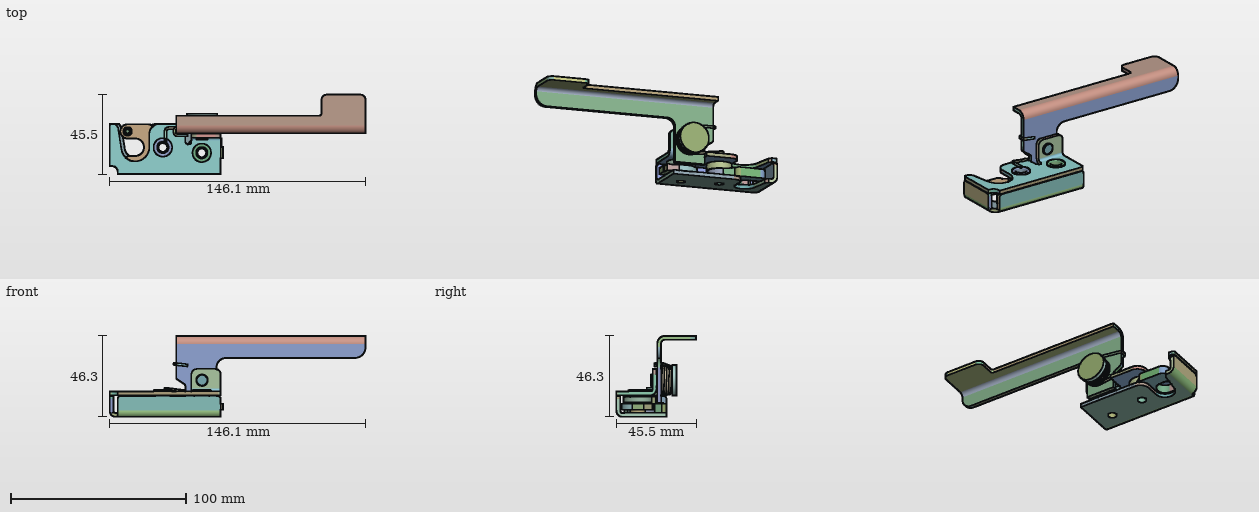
import cadquery as cq
import math

SHEET = 2.29
BODY_LENGTH = 63.4
BODY_DEPTH = 28.7
PLATE_TOP = 14.6
PLATE_BOTTOM = PLATE_TOP - SHEET
WALL_TOP = 12.0
BEND_OUTER = 3.6
BEND_INNER = BEND_OUTER - SHEET
WALL_CORNER_RADIUS = 1.7

RELIEF_END = 4.57
RELIEF_START = 1.5

TOTAL_LENGTH = 146.11
TOTAL_DEPTH = 45.49
TOTAL_HEIGHT = 46.3
HANDLE_LEFT = 37.95
HANDLE_FRONT = 23.3
HANDLE_BACK = HANDLE_FRONT + SHEET
HANDLE_BEND_OUTER = 2 * SHEET
RAIL_BACK = 33.45
RAIL_BOTTOM = 33.55
WEB_END_RADIUS = 6.35
GRIP_LEFT = 120.8
GRIP_CORNER_RADIUS = 3.2
GRIP_INNER_RADIUS = 1.2
STEM_RIGHT = 61.1
STEM_FILLET = 5.3
SHOULDER_TOP = 21.8
SHOULDER_BOTTOM = 18.3
LEG_LEFT = 43.2
LEG_BOTTOM = 8.0
SHOULDER_FILLET = 1.5

PIVOT_X = 52.75
PIVOT_Z = 20.95
PIN_DIAMETER = 6.63
PIN_TIP_DIAMETER = 6.1
PIN_FRONT = 19.8
DISC_DIAMETER = 17.45
DISC_FRONT = 31.8
DISC_BACK = 34.5
HUB_DIAMETER = 12.7

LUG_LEFT = 46.7
LUG_FRONT = 20.76
LUG_BACK = LUG_FRONT + SHEET
LUG_TOP = 27.35
LUG_CORNER_RADIUS = 3.0
LUG_BEND_INNER = 1.5
LUG_BEND_OUTER = LUG_BEND_INNER + SHEET
LUG_BEND_START = LUG_FRONT - LUG_BEND_INNER
NOTCH_LEFT = 43.1
NOTCH_SHOULDER = 19.0
NOTCH_BOTTOM = 17.1

MOUTH_X = 14.7
MOUTH_Y = 15.4
TOP_MOUTH_RADIUS = 8.0
LOWER_MOUTH_RADIUS = 6.0
MOUTH_TILT = math.radians(9)
MOUTH_LIP_RADIUS = 2.2
MOUTH_FLARE_RADIUS = 5.8

BUSHINGS = [(30.4, 15.3), (52.6, 12.2)]
BUSHING_DIAMETER = 8.48
FLANGE_DIAMETER = 10.6
FLANGE_RISE = 0.95
FLANGE_EDGE = 0.4
BORE_DIAMETER = 6.53
LOWER_BORE_DIAMETER = 4.98
BORE_LEDGE = 12.0

ROTOR_BOTTOM = SHEET
ROTOR_TOP = 7.6
PAWL_BOTTOM = 4.0
PAWL_RADIUS = 9.3
LEVER_BOTTOM = 8.3
LEVER_TOP = 11.5
LEVER_RADIUS = 8.1
COLLAR_DIAMETER = 14.6
JAW_X = 10.3
JAW_Y = 24.45
JAW_RADIUS = 4.1
SLOT_HALF_HEIGHT = 4.9
RIVET_DIAMETER = 4.98
RIVET_SOCKET_DIAMETER = 3.17
RIVET_CORE_DIAMETER = 2.34
RIVET_RISE = 0.4
RIVET_SOCKET_DEPTH = 0.8

WIRE_DIAMETER = 1.32
COIL_RADIUS = 7.6
COIL_PITCH = 1.35
COIL_TURNS = 3.5
COIL_START = 26.3
WIRE_BEND_RADIUS = 1.8


def slab(outline, bottom, top):
    """Extrude a closed XY outline between two heights."""
    return outline.extrude(top - bottom).translate((0, 0, bottom))


def fillet_near(body, point, radius):
    """Round the one edge whose middle is closest to a point."""
    return body.edges(cq.selectors.NearestToPointSelector(point)).fillet(radius)


def cylinder_y(diameter, front, back):
    """Cylinder on the pivot axis."""
    return (
        cq.Workplane("XZ", origin=(PIVOT_X, front, PIVOT_Z))
        .circle(diameter / 2)
        .extrude(front - back)
    )


def corner_relief():
    """Round-nosed column removed at the corner of the two walls."""
    radius = RELIEF_END - RELIEF_START
    nose = RELIEF_START + radius * math.sqrt(0.5)
    outline = (
        cq.Workplane("XY")
        .moveTo(0, 0)
        .lineTo(RELIEF_END, 0)
        .lineTo(RELIEF_END, RELIEF_START)
        .threePointArc((nose, nose), (RELIEF_START, RELIEF_END))
        .lineTo(0, RELIEF_END)
        .close()
    )
    return slab(outline, 0, PLATE_TOP)


def mouth(radius, bottom, top):
    """Striker opening: round end, tilted left side, lips rounded at the rear edge."""
    touch_x = MOUTH_X - radius * math.cos(MOUTH_TILT)
    touch_y = MOUTH_Y - radius * math.sin(MOUTH_TILT)
    left_lip = touch_x - (BODY_DEPTH - touch_y) * math.tan(MOUTH_TILT)
    right = MOUTH_X + radius
    lip = MOUTH_LIP_RADIUS
    flare = MOUTH_FLARE_RADIUS
    outline = (
        cq.Workplane("XY")
        .moveTo(left_lip - lip / 2, BODY_DEPTH)
        .lineTo(left_lip - lip / 2, BODY_DEPTH + lip)
        .lineTo(right + flare, BODY_DEPTH + lip)
        .lineTo(right + flare, BODY_DEPTH)
        .threePointArc(
            (right + flare * (1 - math.sqrt(0.5)), BODY_DEPTH - flare * (1 - math.sqrt(0.5))),
            (right, BODY_DEPTH - flare),
        )
        .lineTo(right, MOUTH_Y)
        .threePointArc((MOUTH_X, MOUTH_Y - radius), (touch_x, touch_y))
        .lineTo(left_lip + lip * math.tan(MOUTH_TILT), BODY_DEPTH - lip)
        .close()
    )
    return slab(outline, bottom, top)


def housing():
    """Bottom plate with a front wall and a left wall, open at their common corner."""
    outer = (
        cq.Workplane("XY")
        .box(BODY_LENGTH, BODY_DEPTH, WALL_TOP, centered=False)
        .edges("(<X and <Z) or (<Y and <Z)")
        .fillet(BEND_OUTER)
    )
    cavity = (
        cq.Workplane("XY", origin=(SHEET, SHEET, SHEET))
        .box(BODY_LENGTH, BODY_DEPTH, WALL_TOP, centered=False)
        .edges("(<X and <Z) or (<Y and <Z)")
        .fillet(BEND_INNER)
    )
    wall_gap = cq.Workplane("XY", origin=(0, 0, SHEET)).box(
        RELIEF_END, RELIEF_END, WALL_TOP, centered=False
    )
    shell = outer.cut(cavity).cut(corner_relief()).cut(wall_gap)
    shell = shell.cut(mouth(LOWER_MOUTH_RADIUS, 0, SHEET))
    for corner in [RELIEF_END, BODY_LENGTH]:
        shell = fillet_near(shell, (corner, SHEET / 2, WALL_TOP), WALL_CORNER_RADIUS)
    for corner in [RELIEF_END, BODY_DEPTH]:
        shell = fillet_near(shell, (SHEET / 2, corner, WALL_TOP), WALL_CORNER_RADIUS)
    return shell


def top_plate():
    """Flat plate with the striker mouth and the relief notch beside the lug."""
    plate_corner_radius = 1.2
    middle = (PLATE_TOP + PLATE_BOTTOM) / 2
    outline = (
        cq.Workplane("XY")
        .moveTo(0, 0)
        .lineTo(BODY_LENGTH, 0)
        .lineTo(BODY_LENGTH, LUG_BEND_START)
        .lineTo(LUG_LEFT, LUG_BEND_START)
        .lineTo(LUG_LEFT, NOTCH_SHOULDER)
        .threePointArc(((LUG_LEFT + NOTCH_LEFT) / 2, NOTCH_BOTTOM), (NOTCH_LEFT, NOTCH_SHOULDER))
        .lineTo(NOTCH_LEFT, BODY_DEPTH)
        .lineTo(0, BODY_DEPTH)
        .close()
    )
    plate = slab(outline, PLATE_BOTTOM, PLATE_TOP)
    for x, y in [(BODY_LENGTH, 0), (0, BODY_DEPTH)]:
        plate = fillet_near(plate, (x, y, middle), plate_corner_radius)
    return plate.cut(corner_relief()).cut(mouth(TOP_MOUTH_RADIUS, PLATE_BOTTOM, PLATE_TOP))


def lug():
    """Upright lug joined to the top plate by a quarter-round bend."""
    bend_z = PLATE_TOP + LUG_BEND_INNER
    diagonal = math.sqrt(0.5)
    upright = (
        cq.Workplane("YZ", origin=(LUG_LEFT, 0, 0))
        .moveTo(LUG_BEND_START, PLATE_BOTTOM)
        .threePointArc(
            (LUG_BEND_START + LUG_BEND_OUTER * diagonal, bend_z - LUG_BEND_OUTER * diagonal),
            (LUG_BACK, bend_z),
        )
        .lineTo(LUG_BACK, LUG_TOP)
        .lineTo(LUG_FRONT, LUG_TOP)
        .lineTo(LUG_FRONT, bend_z)
        .threePointArc(
            (LUG_BEND_START + LUG_BEND_INNER * diagonal, bend_z - LUG_BEND_INNER * diagonal),
            (LUG_BEND_START, PLATE_TOP),
        )
        .close()
        .extrude(BODY_LENGTH - LUG_LEFT)
    )
    return upright.edges("|Y and >Z").fillet(LUG_CORNER_RADIUS)


def handle():
    """Angle-section lever: web with a stem, long flange and wide thumb grip."""
    web = (
        cq.Workplane("XZ", origin=(0, HANDLE_FRONT, 0))
        .moveTo(HANDLE_LEFT, TOTAL_HEIGHT)
        .lineTo(TOTAL_LENGTH, TOTAL_HEIGHT)
        .lineTo(TOTAL_LENGTH, RAIL_BOTTOM)
        .lineTo(STEM_RIGHT, RAIL_BOTTOM)
        .lineTo(STEM_RIGHT, LEG_BOTTOM)
        .lineTo(LEG_LEFT, LEG_BOTTOM)
        .lineTo(LEG_LEFT, SHOULDER_BOTTOM)
        .lineTo(HANDLE_LEFT, SHOULDER_TOP)
        .close()
        .extrude(HANDLE_FRONT - TOTAL_DEPTH)
    )
    web_middle = (HANDLE_FRONT + TOTAL_DEPTH) / 2
    web_corners = [
        (TOTAL_LENGTH, RAIL_BOTTOM, WEB_END_RADIUS),
        (STEM_RIGHT, RAIL_BOTTOM, STEM_FILLET),
        (LEG_LEFT, SHOULDER_BOTTOM, SHOULDER_FILLET),
        (HANDLE_LEFT, SHOULDER_TOP, SHOULDER_FILLET),
    ]
    for x, z, radius in web_corners:
        web = fillet_near(web, (x, web_middle, z), radius)

    length = TOTAL_LENGTH - HANDLE_LEFT
    depth = TOTAL_DEPTH - HANDLE_FRONT
    angle = (
        cq.Workplane("XY", origin=(HANDLE_LEFT, HANDLE_FRONT, 0))
        .box(length, depth, TOTAL_HEIGHT, centered=False)
        .edges("<Y and >Z")
        .fillet(HANDLE_BEND_OUTER)
    )
    inside = (
        cq.Workplane("XY", origin=(HANDLE_LEFT, HANDLE_BACK, 0))
        .box(length, depth, TOTAL_HEIGHT - SHEET, centered=False)
        .edges("<Y and >Z")
        .fillet(HANDLE_BEND_OUTER - SHEET)
    )
    plan = (
        cq.Workplane("XY")
        .moveTo(HANDLE_LEFT, HANDLE_FRONT)
        .lineTo(TOTAL_LENGTH, HANDLE_FRONT)
        .lineTo(TOTAL_LENGTH, TOTAL_DEPTH)
        .lineTo(GRIP_LEFT, TOTAL_DEPTH)
        .lineTo(GRIP_LEFT, RAIL_BACK)
        .lineTo(HANDLE_LEFT, RAIL_BACK)
        .close()
        .extrude(TOTAL_HEIGHT)
        .edges("|Z and >Y")
        .fillet(GRIP_CORNER_RADIUS)
    )
    plan = fillet_near(plan, (GRIP_LEFT, RAIL_BACK, TOTAL_HEIGHT / 2), GRIP_INNER_RADIUS)
    return angle.cut(inside).intersect(web).intersect(plan)


def pivot():
    """Pivot pin with a bevelled tip, spring hub and retaining disc."""
    pin = cylinder_y(PIN_DIAMETER, PIN_FRONT, DISC_FRONT)
    pin = pin.faces("<Y").chamfer((PIN_DIAMETER - PIN_TIP_DIAMETER) / 2)
    hub = cylinder_y(HUB_DIAMETER, HANDLE_BACK, DISC_FRONT)
    disc = cylinder_y(DISC_DIAMETER, DISC_FRONT, DISC_BACK)
    return pin.union(hub).union(disc)


def bushing(x, y):
    """Stepped tube through the body with a rounded flange on the top plate."""
    outer = FLANGE_DIAMETER / 2
    inner = BORE_DIAMETER / 2
    lower = LOWER_BORE_DIAMETER / 2
    barrel = BUSHING_DIAMETER / 2
    profile = (
        cq.Workplane("XZ")
        .moveTo(lower, 0)
        .lineTo(barrel, 0)
        .lineTo(barrel, PLATE_TOP)
        .lineTo(outer, PLATE_TOP)
        .lineTo(outer, PLATE_TOP + FLANGE_EDGE)
        .threePointArc(((outer + inner) / 2, PLATE_TOP + FLANGE_RISE), (inner, PLATE_TOP))
        .lineTo(inner, BORE_LEDGE)
        .lineTo(lower, BORE_LEDGE)
        .close()
    )
    return profile.revolve(360, (0, 0, 0), (0, 1, 0)).translate((x, y, 0))


def rotor():
    """Hooked catch turning on the first bushing, with a riveted upper jaw."""
    hinge_x, hinge_y = BUSHINGS[0]
    hinge_radius = 6.6
    heel_drop = 2.3
    back_corner_x = 22.2
    back_corner_radius = 2.7
    jaw_tip = (9.1, 9.3)
    jaw_root_x = 10.8
    back = JAW_Y + JAW_RADIUS
    slot_top = MOUTH_Y + SLOT_HALF_HEIGHT
    slot_bottom = MOUTH_Y - SLOT_HALF_HEIGHT
    diagonal = math.sqrt(0.5)
    outline = (
        cq.Workplane("XY")
        .moveTo(JAW_X, back)
        .lineTo(back_corner_x, back)
        .threePointArc(
            (back_corner_x + back_corner_radius * diagonal, back - back_corner_radius * (1 - diagonal)),
            (back_corner_x + back_corner_radius, back - back_corner_radius),
        )
        .lineTo(hinge_x, hinge_y + hinge_radius)
        .threePointArc((hinge_x + hinge_radius, hinge_y), (hinge_x, hinge_y - hinge_radius))
        .lineTo(jaw_tip[0] + SLOT_HALF_HEIGHT, hinge_y - hinge_radius - heel_drop)
        .lineTo(*jaw_tip)
        .lineTo(jaw_root_x, slot_bottom)
        .lineTo(MOUTH_X, slot_bottom)
        .threePointArc((MOUTH_X + SLOT_HALF_HEIGHT, MOUTH_Y), (MOUTH_X, slot_top))
        .lineTo(JAW_X, slot_top)
        .threePointArc((JAW_X - JAW_RADIUS, (slot_top + back) / 2), (JAW_X, back))
        .close()
    )
    rivet_top = ROTOR_TOP + RIVET_RISE
    socket_floor = rivet_top - RIVET_SOCKET_DEPTH
    axis = cq.Workplane("XY").center(JAW_X, JAW_Y)
    rivet = slab(axis.circle(RIVET_DIAMETER / 2), ROTOR_TOP, rivet_top)
    socket = slab(axis.circle(RIVET_SOCKET_DIAMETER / 2), socket_floor, rivet_top)
    core = slab(axis.circle(RIVET_CORE_DIAMETER / 2), socket_floor, ROTOR_TOP)
    collar = slab(
        cq.Workplane("XY").center(hinge_x, hinge_y).circle(COLLAR_DIAMETER / 2), ROTOR_TOP, LEVER_TOP
    )
    blank = slab(outline, ROTOR_BOTTOM, ROTOR_TOP)
    return blank.union(rivet).cut(socket).union(core).union(collar)


def pawl_and_lever():
    """Two stacked levers turning on the second bushing; the pawl tail leaves the body."""
    x, y = BUSHINGS[1]
    tail_front = 9.1
    tail_step = 15.6
    tail_back = 20.5
    tail_end = 64.75
    tail_short_end = 64.0
    pawl = slab(cq.Workplane("XY").center(x, y).circle(PAWL_RADIUS), PAWL_BOTTOM, ROTOR_TOP)
    tail = (
        cq.Workplane("XY")
        .moveTo(x, tail_front)
        .lineTo(tail_end, tail_front)
        .lineTo(tail_end, tail_step)
        .lineTo(tail_short_end, tail_step)
        .lineTo(tail_short_end, tail_back)
        .lineTo(x, tail_back)
        .close()
    )
    lever = slab(cq.Workplane("XY").center(x, y).circle(LEVER_RADIUS), LEVER_BOTTOM, LEVER_TOP)
    return pawl.union(slab(tail, PAWL_BOTTOM, ROTOR_TOP)).union(lever)


def bent_wire(points):
    """Round wire along straight runs joined by tangent bends."""
    nodes = [cq.Vector(*p) for p in points]
    edges = []
    start = nodes[0]
    for before, corner, after in zip(nodes, nodes[1:], nodes[2:]):
        arriving = (corner - before).normalized()
        leaving = (after - corner).normalized()
        half_turn = arriving.getAngle(leaving) / 2
        setback = WIRE_BEND_RADIUS * math.tan(half_turn)
        bend_start = corner - arriving * setback
        bend_end = corner + leaving * setback
        inward = (leaving - arriving).normalized()
        bend_middle = corner + inward * (WIRE_BEND_RADIUS / math.cos(half_turn) - WIRE_BEND_RADIUS)
        edges.append(cq.Edge.makeLine(start, bend_start))
        edges.append(cq.Edge.makeThreePointArc(bend_start, bend_middle, bend_end))
        start = bend_end
    edges.append(cq.Edge.makeLine(start, nodes[-1]))
    path = cq.Wire.assembleEdges(edges)
    section = cq.Workplane(cq.Plane(nodes[0], normal=nodes[1] - nodes[0]))
    return section.circle(WIRE_DIAMETER / 2).sweep(cq.Workplane(path))


def spring():
    """Torsion spring: coil round the hub, one leg hooked on the stem, one on the plate."""
    coil_length = COIL_PITCH * COIL_TURNS
    coil_end = COIL_START + coil_length
    axis = cq.Plane(
        origin=(PIVOT_X, COIL_START, PIVOT_Z), xDir=(0, 0, -1), normal=(0, 1, 0)
    )
    helix = cq.Wire.makeHelix(COIL_PITCH, coil_length, COIL_RADIUS, lefthand=True)
    helix = helix.moved(cq.Location(axis))
    coil = (
        cq.Workplane("YZ", origin=(PIVOT_X, COIL_START, PIVOT_Z - COIL_RADIUS))
        .circle(WIRE_DIAMETER / 2)
        .sweep(cq.Workplane(helix), isFrenet=True)
    )
    hook_x = 37.1
    hook_back = 26.3
    hook_front = 22.2
    hook_height = 30.25
    hook_tip = (44.5, hook_front, 29.4)
    hooked_leg = bent_wire([
        (PIVOT_X, coil_end, PIVOT_Z + COIL_RADIUS),
        (hook_x, hook_back, hook_height),
        (hook_x, hook_front, hook_height),
        hook_tip,
    ])
    rest_x = 31.95
    rest_height = 16.1
    rest_tip_y = 17.3
    resting_leg = bent_wire([
        (PIVOT_X, COIL_START, PIVOT_Z - COIL_RADIUS),
        (rest_x, COIL_START, rest_height),
        (rest_x, rest_tip_y, rest_height),
    ])
    return coil.union(hooked_leg).union(resting_leg)


def latch():
    """All parts joined into one solid."""
    body = housing().union(top_plate()).union(lug())
    body = body.union(rotor()).union(pawl_and_lever())
    for x, y in BUSHINGS:
        bore = cq.Workplane("XY").center(x, y).circle(BUSHING_DIAMETER / 2).extrude(PLATE_TOP)
        body = body.cut(bore).union(bushing(x, y))
    return body.union(handle()).union(pivot()).union(spring())


result = latch()